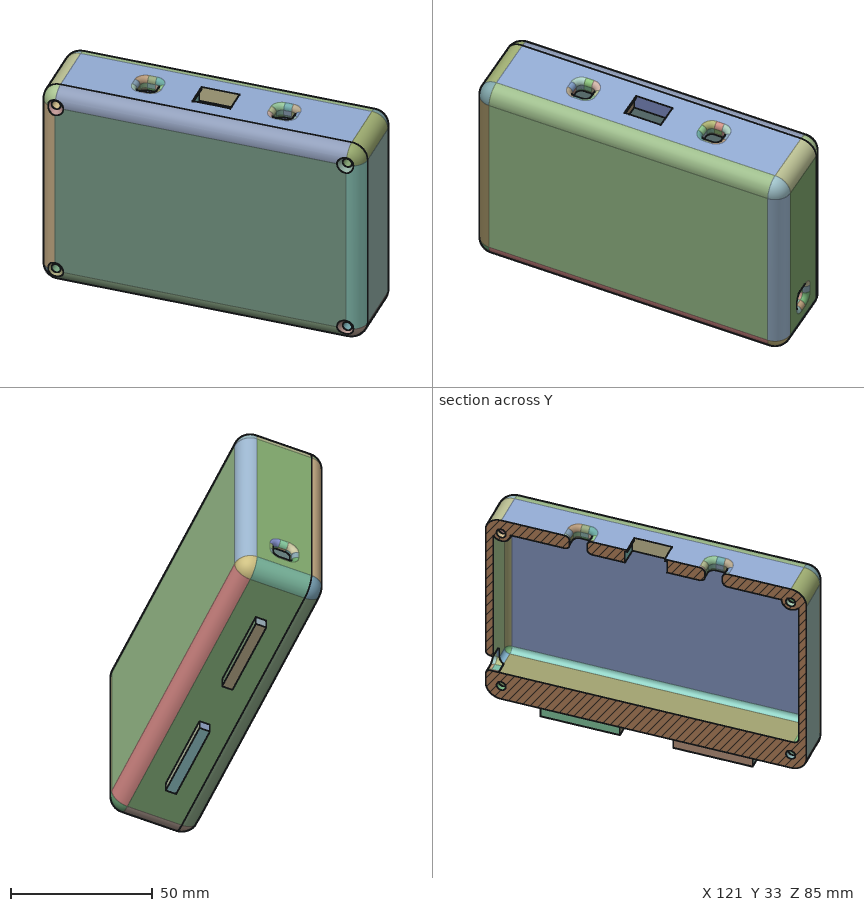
import cadquery as cq

LENGTH = 121.0
DEPTH = 33.0
HEIGHT = 81.0
EDGE_RADIUS = 6.0
WALL = 6.0
SIDE_WALL = 3.0

FRONT_Y = -DEPTH / 2
SEAM_Y = FRONT_Y + EDGE_RADIUS

PORT_SIZE = 7.0
PORT_CORNER_RADIUS = 2.0
PORT_ROLL_RADIUS = 2.0
PORT_MOUTH_SIZE = PORT_SIZE + 2 * PORT_ROLL_RADIUS
TOP_PORT_X = 25.5
SIDE_PORT_Z = 15.2

WINDOW_LENGTH = 14.2
WINDOW_WIDTH = 9.5
WINDOW_LIP = 1.0
WINDOW_UNDERCUT = 0.8

CAVITY_FLOOR_Z = 12.0
CAVITY_HEIGHT = HEIGHT - WALL - CAVITY_FLOOR_Z
CAVITY_LENGTH = LENGTH - 2 * SIDE_WALL
CAVITY_DEPTH = DEPTH / 2 - WALL - SEAM_Y
CAVITY_EDGE_RADIUS = 2.0

SCREW_X = LENGTH / 2 - EDGE_RADIUS
SCREW_LOW_Z = EDGE_RADIUS
SCREW_HIGH_Z = HEIGHT - EDGE_RADIUS
SCREW_POINTS = [(x, z) for x in (-SCREW_X, SCREW_X) for z in (SCREW_LOW_Z, SCREW_HIGH_Z)]
SCREW_HOLE_DIAMETER = 3.4
COUNTERSINK_DIAMETER = 6.6
COUNTERSINK_ANGLE = 90.0
SCREW_HOLE_DEPTH = 10.0
BOSS_DIAMETER = 7.0

TAB_LENGTH = 30.0
TAB_THICKNESS = 4.0
TAB_DROP = 4.0
TAB_X = 25.0


def rounded_block():
    """Solid block with every edge rounded."""
    block = cq.Workplane("XY").box(LENGTH, DEPTH, HEIGHT, centered=(True, True, False))
    return block.edges().fillet(EDGE_RADIUS)


def lid_zone():
    """Slab in front of the seam that separates lid from box."""
    slab = cq.Workplane("XY").box(LENGTH, EDGE_RADIUS, HEIGHT, centered=(True, False, False))
    return slab.translate((0, FRONT_Y, 0))


def front_plane(y):
    """XZ sketch plane at the given Y with its normal pointing to the front."""
    return cq.Workplane("XZ", origin=(0, y, 0))


def rounded_square(size, corner_radius, depth):
    """Rounded-square prism running down from Z = 0."""
    prism = cq.Workplane("XY").rect(size, size).extrude(-depth)
    return prism.edges("|Z").fillet(corner_radius)


def port_mouth():
    """Flared cutter with its wide end at Z = 0, narrowing to the bore along a convex rolled edge."""
    flare = rounded_square(PORT_MOUTH_SIZE, PORT_CORNER_RADIUS + PORT_ROLL_RADIUS, PORT_ROLL_RADIUS)
    plate_size = 2 * PORT_MOUTH_SIZE
    plate = cq.Workplane("XY").rect(plate_size, plate_size).extrude(-2 * PORT_ROLL_RADIUS)
    plate = plate.cut(rounded_square(PORT_SIZE, PORT_CORNER_RADIUS, 2 * PORT_ROLL_RADIUS))
    reach = PORT_MOUTH_SIZE / 2
    rim = cq.selectors.BoxSelector(
        (-reach, -reach, -PORT_ROLL_RADIUS / 2), (reach, reach, PORT_ROLL_RADIUS / 2)
    )
    return flare.cut(plate.edges(rim).fillet(PORT_ROLL_RADIUS))


def top_port():
    """Port rolled on both faces of the top wall."""
    bore = rounded_square(PORT_SIZE, PORT_CORNER_RADIUS, WALL)
    inner_mouth = port_mouth().mirror("XY").translate((0, 0, -WALL))
    return bore.union(port_mouth()).union(inner_mouth)


def side_port():
    """Port rolled outside, turned to open through the -X wall; its bore clears the cavity's rounding."""
    bore = rounded_square(PORT_SIZE, PORT_CORNER_RADIUS, SIDE_WALL + CAVITY_EDGE_RADIUS)
    return bore.union(port_mouth()).rotate((0, 0, 0), (0, 1, 0), -90)


def window():
    """Opening through the top wall, longer below its lip."""
    opening = cq.Workplane("XY").rect(WINDOW_LENGTH, WINDOW_WIDTH).extrude(-WALL)
    undercut_length = WINDOW_LENGTH + 2 * WINDOW_UNDERCUT
    undercut = (
        cq.Workplane("XY", origin=(0, 0, -WINDOW_LIP))
        .rect(undercut_length, WINDOW_WIDTH)
        .extrude(WINDOW_LIP - WALL)
    )
    return opening.union(undercut)


def cavity():
    """Space inside the box, open at the seam, with bosses left for the upper screws."""
    space = (
        cq.Workplane("XY")
        .box(CAVITY_LENGTH, CAVITY_DEPTH, CAVITY_HEIGHT, centered=(True, False, False))
        .translate((0, SEAM_Y, CAVITY_FLOOR_Z))
        .edges("not <Y")
        .fillet(CAVITY_EDGE_RADIUS)
    )
    bosses = (
        front_plane(SEAM_Y)
        .pushPoints([(-SCREW_X, SCREW_HIGH_Z), (SCREW_X, SCREW_HIGH_Z)])
        .circle(BOSS_DIAMETER / 2)
        .extrude(-CAVITY_DEPTH)
    )
    return space.cut(bosses)


def tab(x):
    """Flat mounting tab below the box, rooted in its floor."""
    plate = cq.Workplane("XY").box(
        TAB_LENGTH, TAB_THICKNESS, TAB_DROP + WALL, centered=(True, True, False)
    )
    return plate.translate((x, 0, -TAB_DROP))


def make_box():
    body = rounded_block().cut(lid_zone()).cut(cavity())
    for x in (-TOP_PORT_X, TOP_PORT_X):
        body = body.cut(top_port().translate((x, 0, HEIGHT)))
    body = body.cut(side_port().translate((-LENGTH / 2, 0, SIDE_PORT_Z)))
    body = body.cut(window().translate((0, 0, HEIGHT)))
    screw_holes = (
        front_plane(SEAM_Y)
        .pushPoints(SCREW_POINTS)
        .circle(SCREW_HOLE_DIAMETER / 2)
        .extrude(-SCREW_HOLE_DEPTH)
    )
    body = body.cut(screw_holes)
    for x in (-TAB_X, TAB_X):
        body = body.union(tab(x))
    return body


def make_lid():
    plate = rounded_block().intersect(lid_zone())
    return (
        front_plane(FRONT_Y)
        .add(plate)
        .pushPoints(SCREW_POINTS)
        .cskHole(SCREW_HOLE_DIAMETER, COUNTERSINK_DIAMETER, COUNTERSINK_ANGLE)
    )


box = make_box()
lid = make_lid()

result = cq.Compound.makeCompound([box.val(), lid.val()])